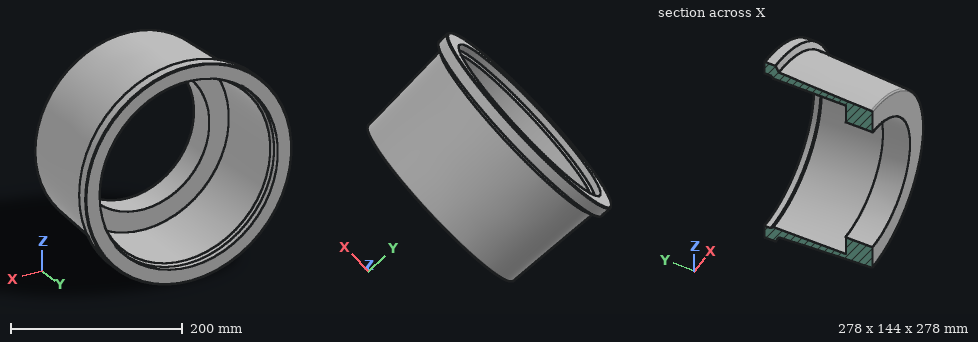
import cadquery as cq

LENGTH = 144.0
SMALL_END_Y = -LENGTH / 2
LARGE_END_Y = LENGTH / 2

FLANGE_DIAMETER = 278.0
FLANGE_THICKNESS = 15.0
SHOULDER_LENGTH = 4.5
FLANGE_EDGE_CHAMFER = 1.0
CONE_LARGE_DIAMETER = 261.0
CONE_SMALL_DIAMETER = 248.0
CONE_EDGE_RADIUS = 2.0

ENTRY_DIAMETER = 181.0
ENTRY_DEPTH = 36.0
BORE_DIAMETER = 233.5
BORE_DEPTH = 132.0
EXIT_DIAMETER = 240.0
LEAD_IN_LENGTH = (EXIT_DIAMETER - BORE_DIAMETER) / 2


def revolve_about_axis(profile):
    """Turn a closed half profile, drawn with radius along X, about the Y axis."""
    return profile.revolve(360, (0, 0, 0), (0, 1, 0))


def outer_body():
    """Solid outside shape: cone with rounded end, sloped shoulder and flange."""
    flange_front_y = LARGE_END_Y - FLANGE_THICKNESS
    flange_radius = FLANGE_DIAMETER / 2
    profile = (
        cq.Workplane("XY")
        .moveTo(0, SMALL_END_Y)
        .lineTo(CONE_SMALL_DIAMETER / 2, SMALL_END_Y)
        .lineTo(CONE_LARGE_DIAMETER / 2, flange_front_y - SHOULDER_LENGTH)
        .lineTo(flange_radius, flange_front_y)
        .lineTo(flange_radius, LARGE_END_Y - FLANGE_EDGE_CHAMFER)
        .lineTo(flange_radius - FLANGE_EDGE_CHAMFER, LARGE_END_Y)
        .lineTo(0, LARGE_END_Y)
        .close()
    )
    return revolve_about_axis(profile).faces("<Y").edges().fillet(CONE_EDGE_RADIUS)


def inner_cavity():
    """Stepped through bore: entry hole, main bore, lead-in and exit bore."""
    entry_radius = ENTRY_DIAMETER / 2
    bore_radius = BORE_DIAMETER / 2
    exit_radius = EXIT_DIAMETER / 2
    entry_end_y = SMALL_END_Y + ENTRY_DEPTH
    bore_end_y = SMALL_END_Y + BORE_DEPTH
    profile = (
        cq.Workplane("XY")
        .moveTo(0, SMALL_END_Y)
        .lineTo(entry_radius, SMALL_END_Y)
        .lineTo(entry_radius, entry_end_y)
        .lineTo(bore_radius, entry_end_y)
        .lineTo(bore_radius, bore_end_y)
        .lineTo(exit_radius, bore_end_y + LEAD_IN_LENGTH)
        .lineTo(exit_radius, LARGE_END_Y)
        .lineTo(0, LARGE_END_Y)
        .close()
    )
    return revolve_about_axis(profile)


result = outer_body().cut(inner_cavity())